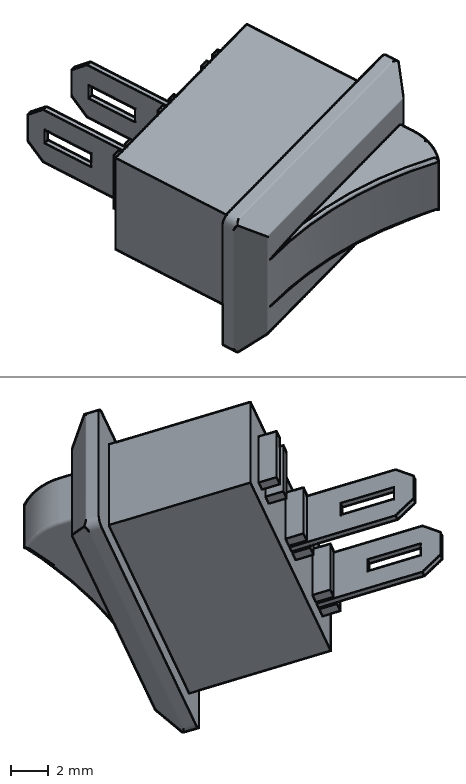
import cadquery as cq
import math


total_length = 20.15

body_length = 8.0
body_width = 11.99
body_height = 7.0
bezel_thickness = 2.02
bezel_width = 15.0
bezel_height = 10.0
bezel_bevel = 1.29
bezel_corner_radius = 0.5
bezel_edge_round = 0.1

terminal_length = 7.0
terminal_height = 3.99
terminal_thickness = 0.3
terminal_tip_chamfer = 1.0
slot_length = 3.0
slot_height = 1.0
slot_tip_distance = 1.1
terminal_pitch = 4.0
rib_length = 1.0
rib_thickness = 0.5
rib_spacing = 1.0

rocker_height = 3.99
rocker_straight = 0.8
rocker_tip_drop = 1.0
rocker_edge_round = 0.2

body_rear = -body_length
terminal_tip = body_rear - terminal_length
rocker_tip = terminal_tip + total_length


def box(x_start, length, y_center, width, height):
    """Box running along +X from x_start, centred on Z = 0."""
    return (
        cq.Workplane("XY")
        .box(length, width, height, centered=(False, True, True))
        .translate((x_start, y_center, 0))
    )


def make_bezel():
    """Plate with a bevelled front and rounded corners that run out on the bevel."""
    bevelled = (
        box(0, bezel_thickness, 0, bezel_width, bezel_height)
        .faces(">X").chamfer(bezel_bevel)
        .edges("|Y or |Z").edges("not <X").fillet(bezel_edge_round)
    )
    rounded = (
        box(0, bezel_thickness, 0, bezel_width, bezel_height)
        .edges("|X").fillet(bezel_corner_radius)
    )
    return bevelled.intersect(rounded)


def make_terminal(y_center):
    """Flat blade with a chamfered tip and a rectangular slot."""
    blade = (
        box(terminal_tip, terminal_length, y_center, terminal_thickness, terminal_height)
        .edges("<X and |Y").chamfer(terminal_tip_chamfer)
    )
    slot = box(terminal_tip + slot_tip_distance, slot_length, y_center, terminal_thickness, slot_height)
    return blade.cut(slot)


def make_rib_pair(y_center):
    """Two upright ribs, one on each side of a terminal position."""
    ribs = cq.Workplane("XY")
    for side in (-1, 1):
        y_rib = y_center + side * rib_spacing / 2
        ribs = ribs.add(box(body_rear - rib_length, rib_length, y_rib, rib_thickness, terminal_height))
    return ribs.combine()


def make_rocker():
    """Rocker with a concave face that leaves the bezel tangentially and rises to the tip."""
    base = bezel_thickness
    half_width = body_width / 2
    tip_y = half_width - rocker_tip_drop

    rise = rocker_tip - base
    run = tip_y + half_width
    face_radius = (rise**2 + run**2) / (2 * rise)
    half_angle = math.asin(run / face_radius) / 2
    face_mid = (
        base + face_radius * (1 - math.cos(half_angle)),
        -half_width + face_radius * math.sin(half_angle),
    )

    profile = (
        cq.Workplane("XY")
        .moveTo(0, half_width)
        .lineTo(base + rocker_straight, half_width)
        .tangentArcPoint((rocker_tip, tip_y), relative=False)
        .threePointArc(face_mid, (base, -half_width))
        .lineTo(0, -half_width)
        .close()
    )
    rocker = profile.extrude(rocker_height / 2, both=True)
    return rocker.faces("|Z").edges("not <X").fillet(rocker_edge_round)


result = box(body_rear, body_length, 0, body_width, body_height)
result = result.union(make_bezel()).union(make_rocker())
for position in (-1, 0, 1):
    result = result.union(make_rib_pair(position * terminal_pitch))
for position in (-1, 0):
    result = result.union(make_terminal(position * terminal_pitch))